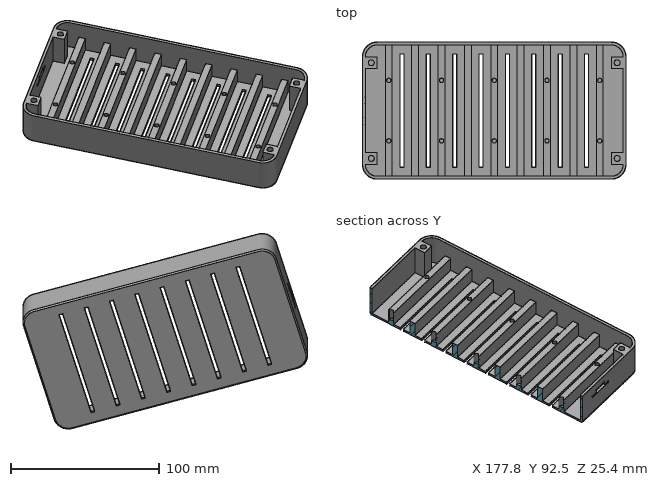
import cadquery as cq

LENGTH = 177.8
WIDTH = 92.52
HEIGHT = 25.4
WALL = 2.0
FLOOR = 2.0
CORNER_RADIUS = 10.0
BOTTOM_CHAMFER = 1.0

RIB_COUNT = 9
RIB_PITCH = LENGTH / (RIB_COUNT + 1)
RIB_THICKNESS = 4.6
RIB_HEIGHT = 11.07
SLOT_LENGTH = 76.2
SLOT_WIDTH = 2.54

RIB_HOLE_DIAMETER = 2.9
RIB_HOLE_Y = 20.4
RIB_HOLE_DEPTH = 8.0

POST_SIZE = 8.0
POST_INSET = 14.0
POST_X = LENGTH / 2 - WALL - POST_SIZE / 2
POST_Y = WIDTH / 2 - POST_INSET
POST_HOLE_DIAMETER = 4.0
POST_HOLE_DEPTH = 10.0

OPENING_BOTTOM = 15.4
OPENING_STEP = 16.5
OPENING_TOP = 19.3
OPENING_WIDE = 18.5
OPENING_NARROW = 9.4


def make_shell():
    """Rounded open-top tray with a chamfered bottom edge."""
    outer = (
        cq.Workplane("XY")
        .rect(LENGTH, WIDTH)
        .extrude(HEIGHT)
        .edges("|Z")
        .fillet(CORNER_RADIUS)
        .faces("<Z")
        .edges()
        .chamfer(BOTTOM_CHAMFER)
    )
    cavity = (
        cq.Workplane("XY", origin=(0, 0, FLOOR))
        .rect(LENGTH - 2 * WALL, WIDTH - 2 * WALL)
        .extrude(HEIGHT)
        .edges("|Z")
        .fillet(CORNER_RADIUS - WALL)
    )
    return outer.cut(cavity)


def row_along_x(count, spacing):
    """Points on the X axis, evenly spaced about the origin."""
    return [((i - (count - 1) / 2) * spacing, 0) for i in range(count)]


def make_ribs():
    """Ribs standing on the floor, running from side wall to side wall."""
    return (
        cq.Workplane("XY", origin=(0, 0, FLOOR))
        .pushPoints(row_along_x(RIB_COUNT, RIB_PITCH))
        .rect(RIB_THICKNESS, WIDTH - 2 * WALL)
        .extrude(RIB_HEIGHT)
    )


def make_vent_slots():
    """Cutters for the slots through the floor."""
    return (
        cq.Workplane("XY")
        .pushPoints(row_along_x(RIB_COUNT - 1, RIB_PITCH))
        .rect(SLOT_WIDTH, SLOT_LENGTH)
        .extrude(FLOOR)
    )


def make_rib_holes():
    """Cutters for the pairs of blind holes in every second rib."""
    drilled_ribs = row_along_x(RIB_COUNT // 2 + 1, 2 * RIB_PITCH)
    points = [(x, y) for x, _ in drilled_ribs for y in (-RIB_HOLE_Y, RIB_HOLE_Y)]
    return (
        cq.Workplane("XY", origin=(0, 0, FLOOR + RIB_HEIGHT))
        .pushPoints(points)
        .circle(RIB_HOLE_DIAMETER / 2)
        .extrude(-RIB_HOLE_DEPTH)
    )


def post_points():
    """Centres of the four corner posts."""
    return [(x, y) for x in (-POST_X, POST_X) for y in (-POST_Y, POST_Y)]


def make_posts():
    """Square posts standing on the floor against the end walls."""
    return (
        cq.Workplane("XY", origin=(0, 0, FLOOR))
        .pushPoints(post_points())
        .rect(POST_SIZE, POST_SIZE)
        .extrude(HEIGHT - FLOOR)
    )


def make_post_holes():
    """Cutters for the blind holes in the post tops."""
    return (
        cq.Workplane("XY", origin=(0, 0, HEIGHT))
        .pushPoints(post_points())
        .circle(POST_HOLE_DIAMETER / 2)
        .extrude(-POST_HOLE_DEPTH)
    )


def make_end_opening():
    """Cutter for the opening: a wide low slit with a narrower step above."""
    half_wide = OPENING_WIDE / 2
    half_narrow = OPENING_NARROW / 2
    return (
        cq.Workplane("YZ", origin=(-LENGTH / 2, 0, 0))
        .moveTo(-half_wide, OPENING_BOTTOM)
        .lineTo(half_wide, OPENING_BOTTOM)
        .lineTo(half_wide, OPENING_STEP)
        .lineTo(half_narrow, OPENING_STEP)
        .lineTo(half_narrow, OPENING_TOP)
        .lineTo(-half_narrow, OPENING_TOP)
        .lineTo(-half_narrow, OPENING_STEP)
        .lineTo(-half_wide, OPENING_STEP)
        .close()
        .extrude(WALL)
    )


tray = make_shell().union(make_ribs()).union(make_posts())
tray = tray.cut(make_vent_slots()).cut(make_rib_holes()).cut(make_post_holes())
result = tray.cut(make_end_opening())